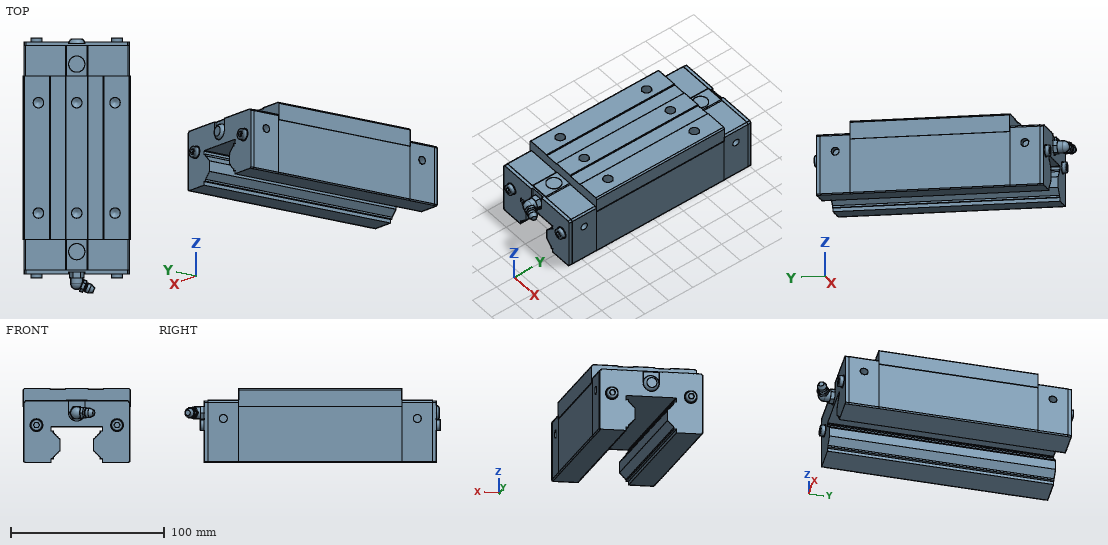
import cadquery as cq
import math

block_width = 70.0
block_length = 106.6
block_height = 48.5
flank_width = 69.2
flank_height = 36.5
block_top_chamfer = 1.0
bottom_chamfer = 0.8

groove_inner = 7.0
groove_outer = 17.2
groove_depth = 0.5
groove_wall_run = 0.5

cap_width = 69.0
cap_height = 40.95
cap_length = 20.0
cap_chamfer = 1.2
plate_thickness = 2.5
plate_inset = 0.1
pad_top_width = 13.2
pad_base_width = 14.6
pad_rise = 0.5
port_diameter = 10.6
port_depth = 0.2
port_from_end = 14.6

tap_diameter = 6.8
tap_depth = 12.0
tap_tip_angle = 118.0
tap_pitch_x = 25.0
tap_pitch_y = 72.0

side_hole_diameter = 5.2
side_hole_depth = 6.0
side_hole_from_end = 12.5
side_hole_z = 28.8

screw_x = 26.3
screw_z = 24.5
screw_head_diameter = 7.3
screw_head_height = 2.6
screw_head_fillet = 0.4
screw_recess_diameter = 8.3
screw_recess_depth = 0.5
screw_socket_size = 4.0
screw_socket_depth = 1.5

fitting_z = 32.5
seat_width = 10.7
seat_depth = 1.25

nipple_hex_flats = 8.3
nipple_hex_end = 2.5
nipple_neck_diameter = 8.0
nipple_neck_end = 6.1
nipple_angle = 22.5
collar_flats = 7.0
collar_start = 3.5
collar_end = 5.6
collar_cone_radius = 3.4
spout_neck = 6.3
spout_neck_radius = 2.5
spout_radius = 3.1
spout_shoulder = 7.1
spout_taper_start = 9.25
spout_tip = 12.0
spout_tip_radius = 1.75

plug_base_diameter = 10.6
plug_height = 3.1
plug_mid_diameter = 9.4
plug_mid_height = 1.9
plug_top_diameter = 6.6

slot_half_width = 16.8
slot_height = 23.4
slot_corner_chamfer = 0.4
slot_lip_height = 2.4
slot_roof_drop = 2.7
jaw_root = 15.2
jaw_tip = 10.8
jaw_bottom = 8.0
jaw_top = 15.1
jaw_slope = jaw_root - jaw_tip

block_end = block_length / 2
cap_end = block_end + cap_length
end_face = cap_end + plate_thickness
seat_floor = end_face - seat_depth


def extrude_along_y(points, y_start, y_end):
    """Prism with an XZ outline between two Y positions."""
    return cq.Workplane("XZ", origin=(0, y_end, 0)).polyline(points).close().extrude(y_end - y_start)


def mirrored_outline(right_half):
    """Close a right-hand half outline with its mirror image across X = 0."""
    return right_half + [(-x, z) for x, z in reversed(right_half)]


def across_corners(flats):
    """Corner-to-corner size of a hexagon from its size across flats."""
    return flats / math.cos(math.pi / 6)


def disc_along_y(x, z, y_start, y_end, diameter):
    return (cq.Workplane("XZ", origin=(x, y_end, z))
            .circle(diameter / 2).extrude(y_end - y_start))


def make_block():
    half_band = block_width / 2
    half_flank = flank_width / 2
    land_floor = block_height - groove_depth
    outline = mirrored_outline([
        (half_flank - bottom_chamfer, 0),
        (half_flank, bottom_chamfer),
        (half_flank, flank_height),
        (half_band, flank_height),
        (half_band, block_height - block_top_chamfer),
        (half_band - block_top_chamfer, block_height),
        (groove_outer + groove_wall_run, block_height),
        (groove_outer, land_floor),
        (groove_inner + groove_wall_run, land_floor),
        (groove_inner, block_height),
    ])
    return extrude_along_y(outline, -block_end, block_end)


def cap_outline(inset):
    """Cap section with its sides and top moved inward by the inset."""
    half = cap_width / 2 - inset
    top = cap_height - pad_rise - inset
    return mirrored_outline([
        (half - bottom_chamfer, 0),
        (half, bottom_chamfer),
        (half, top - cap_chamfer),
        (half - cap_chamfer, top),
    ])


def make_seat():
    """Round-bottomed slot in the end plate, open at the top."""
    slot = cq.Workplane("XY").box(seat_width, seat_depth, cap_height, centered=(True, False, False))
    slot = slot.translate((0, seat_floor, fitting_z))
    return slot.union(disc_along_y(0, fitting_z, seat_floor, end_face, seat_width))


def make_screw():
    top = end_face + screw_head_height
    head = disc_along_y(screw_x, screw_z, end_face - screw_recess_depth, top, screw_head_diameter)
    head = head.faces(">Y").edges().fillet(screw_head_fillet)
    socket = (cq.Workplane("XZ", origin=(screw_x, top, screw_z))
              .polygon(6, screw_socket_size).extrude(screw_socket_depth))
    return head.cut(socket)


def make_end():
    """End cap, end plate and two screws on the +Y end."""
    end = extrude_along_y(cap_outline(0), block_end, cap_end)
    pad = mirrored_outline([
        (pad_base_width / 2, fitting_z),
        (pad_base_width / 2, cap_height - pad_rise),
        (pad_top_width / 2, cap_height),
    ])
    end = end.union(extrude_along_y(pad, block_end, cap_end))
    port = (cq.Workplane("XY", origin=(0, end_face - port_from_end, cap_height - port_depth))
            .circle(port_diameter / 2).extrude(port_depth))
    end = end.cut(port)
    end = end.union(extrude_along_y(cap_outline(plate_inset), cap_end, end_face))
    end = end.cut(make_seat())

    recess = disc_along_y(screw_x, screw_z, end_face - screw_recess_depth, end_face, screw_recess_diameter)
    end = end.cut(recess).cut(recess.mirror("YZ"))
    screw = make_screw()
    end = end.union(screw).union(screw.mirror("YZ"))

    side_hole = (cq.Workplane("YZ", origin=(-cap_width / 2, end_face - side_hole_from_end, side_hole_z))
                 .circle(side_hole_diameter / 2).extrude(side_hole_depth))
    return end.cut(side_hole).cut(side_hole.mirror("YZ"))


def make_rail_slot():
    """Rail passage with a jaw on each side."""
    jaw_roof = slot_height - slot_roof_drop
    outline = mirrored_outline([
        (slot_half_width, 0),
        (slot_half_width, slot_lip_height),
        (jaw_root, slot_lip_height),
        (jaw_root, jaw_bottom - jaw_slope),
        (jaw_tip, jaw_bottom),
        (jaw_tip, jaw_top),
        (jaw_root, jaw_top + jaw_slope),
        (jaw_root, jaw_roof),
        (slot_half_width, jaw_roof),
        (slot_half_width, slot_height - slot_corner_chamfer),
        (slot_half_width - slot_corner_chamfer, slot_height),
    ])
    return extrude_along_y(outline, -end_face, end_face)


def make_tapped_holes():
    radius = tap_diameter / 2
    tip = radius / math.tan(math.radians(tap_tip_angle / 2))
    drill = (cq.Workplane("XZ")
             .polyline([(0, 0), (radius, 0), (radius, -tap_depth), (0, -tap_depth - tip)]).close()
             .revolve(360, (0, 0), (0, 1)).translate((0, 0, block_height)))
    spots = [(column * tap_pitch_x, row * tap_pitch_y) for column in (-1, 0, 1) for row in (-0.5, 0.5)]
    return [drill.translate((x, y, 0)) for x, y in spots]


def make_nipple():
    """Angled grease nipple on the -Y end."""
    hex_end = -end_face - nipple_hex_end
    neck_end = -end_face - nipple_neck_end
    hexagon = (cq.Workplane("XZ", origin=(0, -seat_floor, fitting_z))
               .polygon(6, across_corners(nipple_hex_flats)).extrude(-seat_floor - hex_end))
    neck = disc_along_y(0, fitting_z, neck_end, -seat_floor, nipple_neck_diameter)
    ball = cq.Workplane("XY").sphere(nipple_neck_diameter / 2).translate((0, neck_end, fitting_z))
    outline = [
        (0, 0),
        (0, spout_neck_radius),
        (collar_start, spout_neck_radius),
        (collar_start, collar_cone_radius),
        (collar_end, collar_cone_radius),
        (spout_neck, spout_neck_radius),
        (spout_shoulder, spout_radius),
        (spout_taper_start, spout_radius),
        (spout_tip, spout_tip_radius),
        (spout_tip, 0),
    ]
    spout = cq.Workplane("XY").polyline(outline).close().revolve(360, (0, 0), (1, 0))
    collar = (cq.Workplane("YZ", origin=(collar_start, 0, 0))
              .polygon(6, across_corners(collar_flats)).extrude(collar_end - collar_start))
    spout = spout.union(collar).rotate((0, 0, 0), (0, 0, 1), -nipple_angle)
    spout = spout.translate((0, neck_end, fitting_z))
    return hexagon.union(neck).union(ball).union(spout)


def make_plug():
    """Domed plug in the seat on the +Y end."""
    top = seat_floor + plug_height
    base_radius = plug_base_diameter / 2
    top_radius = plug_top_diameter / 2
    dome_mid = (plug_mid_diameter / 2, seat_floor + plug_mid_height)
    return (cq.Workplane("XY").moveTo(0, seat_floor).lineTo(base_radius, seat_floor)
            .threePointArc(dome_mid, (top_radius, top)).lineTo(0, top).close()
            .revolve(360, (0, 0), (0, 1)).translate((0, 0, fitting_z)))


end = make_end()
body = make_block().union(end).union(end.mirror("XZ"))
body = body.cut(make_rail_slot())
for hole in make_tapped_holes():
    body = body.cut(hole)
result = body.union(make_nipple()).union(make_plug())